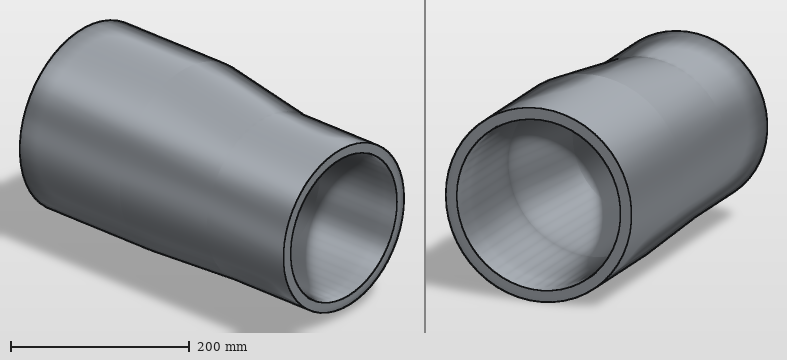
import cadquery as cq

total_length = 400.0
large_length = 152.0
small_length = 116.0
taper_length = total_length - large_length - small_length

large_outer_diameter = 225.0
large_bore_diameter = 198.0
small_outer_diameter = 200.0
small_bore_diameter = 176.0

small_end_offset = -(large_outer_diameter - small_outer_diameter) / 2

taper_start = large_length
taper_end = large_length + taper_length


def straight_length(x_start, length, y_center, diameter):
    """Solid cylinder along +X."""
    start = cq.Workplane("YZ", origin=(x_start, y_center, 0))
    return start.circle(diameter / 2).extrude(length)


def eccentric_taper(large_diameter, small_diameter):
    """Solid transition between the two offset circles."""
    return (
        cq.Workplane("YZ", origin=(taper_start, 0, 0))
        .circle(large_diameter / 2)
        .workplane(offset=taper_length)
        .center(small_end_offset, 0)
        .circle(small_diameter / 2)
        .loft(ruled=True)
    )


def reducer_body(large_diameter, small_diameter):
    """Large end, taper and small end joined into one solid."""
    large_end = straight_length(0, large_length, 0, large_diameter)
    small_end = straight_length(taper_end, small_length, small_end_offset, small_diameter)
    return large_end.union(eccentric_taper(large_diameter, small_diameter)).union(small_end)


outside = reducer_body(large_outer_diameter, small_outer_diameter)
bore = reducer_body(large_bore_diameter, small_bore_diameter)

result = outside.cut(bore)